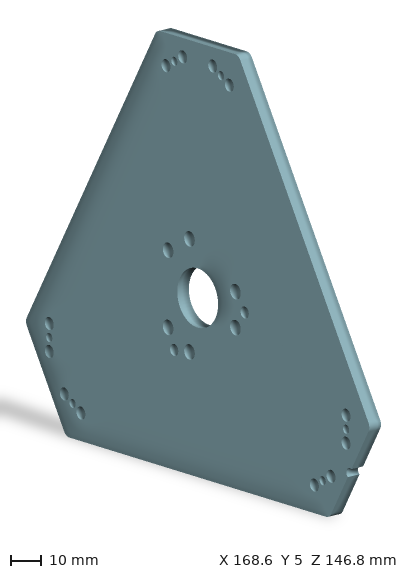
import cadquery as cq
import math

thickness = 5.0
tip_distance = 86.3
side_distance = 60.5
corner_radius = 3.0

bore_diameter = 20.0
mount_diameter = 5.2
mount_radial = 18.5
mount_offset = 6.0
pin_diameter = 4.0
pin_radial = 23.1
pin_angles = (0, 240)

group_radial = 77.5
group_offset = 11.5
group_slope = 30
group_pitch = 4.7
group_outer_diameter = 4.4
group_middle_diameter = 3.0

notch_diameter = 3.5
notch_angle = -30
notch_radial = tip_distance + 0.2
notch_shift = -0.2

tip_angles = (90, 210, 330)
pattern_angles = (0, 120, 240)


def rotated(x, z, angle):
    a = math.radians(angle)
    return (x * math.cos(a) - z * math.sin(a), x * math.sin(a) + z * math.cos(a))


def cut_holes(body, points, diameter):
    cutters = cq.Workplane("XZ").pushPoints(points).circle(diameter / 2).extrude(thickness)
    return body.cut(cutters)


def make_plate():
    half_short = (2 * side_distance - tip_distance) / math.sqrt(3)
    corners = [
        rotated(tip_distance, side, angle)
        for angle in tip_angles
        for side in (-half_short, half_short)
    ]
    plate = cq.Workplane("XZ").polyline(corners).close().extrude(thickness)
    return plate.edges("|Y").fillet(corner_radius)


def cut_center_pattern(body):
    mounts = [
        rotated(mount_radial, side * mount_offset, angle)
        for angle in pattern_angles
        for side in (-1, 1)
    ]
    pins = [rotated(pin_radial, 0, angle) for angle in pin_angles]
    body = cut_holes(body, [(0, 0)], bore_diameter)
    body = cut_holes(body, mounts, mount_diameter)
    return cut_holes(body, pins, pin_diameter)


def cut_tip_groups(body):
    slope = math.radians(group_slope)
    radial_step = group_pitch * math.sin(slope)
    offset_step = group_pitch * math.cos(slope)
    middle_holes = []
    outer_holes = []
    for angle in tip_angles:
        for side in (-1, 1):
            middle_holes.append(rotated(group_radial, side * group_offset, angle))
            for step in (-1, 1):
                radial = group_radial + step * radial_step
                offset = side * (group_offset - step * offset_step)
                outer_holes.append(rotated(radial, offset, angle))
    body = cut_holes(body, middle_holes, group_middle_diameter)
    return cut_holes(body, outer_holes, group_outer_diameter)


def cut_notch(body):
    return cut_holes(body, [rotated(notch_radial, notch_shift, notch_angle)], notch_diameter)


result = make_plate()
result = cut_center_pattern(result)
result = cut_tip_groups(result)
result = cut_notch(result)